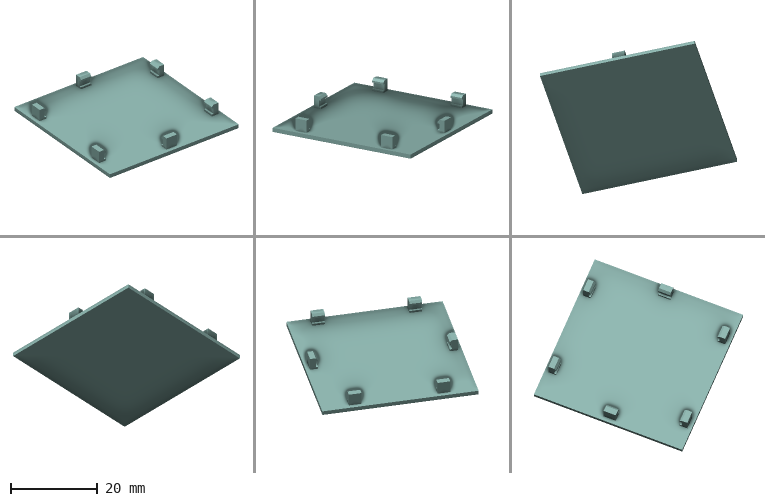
import cadquery as cq

plate_side = 37.0
plate_thickness = 1.0

clip_height = 3.0
clip_width = 3.0
clip_depth = 1.9
edge_setback = 1.0
groove_depth = 0.5
foot_height = 0.5
groove_height = 1.5
tip_chamfer = 0.5

front_clip_offset = 11.5
back_clip_offset = 10.5


def make_clip(along_edge, edge_angle):
    """Clip for the -Y edge at X = along_edge, turned about Z to its own edge."""
    back = -plate_side / 2 + edge_setback
    tip = back + clip_depth
    groove_floor = tip - groove_depth
    top = plate_thickness + clip_height
    groove_bottom = plate_thickness + foot_height
    groove_top = groove_bottom + groove_height
    root = plate_thickness / 2
    section = [
        (back, root),
        (tip, root),
        (tip, groove_bottom),
        (groove_floor, groove_bottom),
        (groove_floor, groove_top),
        (tip, groove_top),
        (tip, top - tip_chamfer),
        (tip - tip_chamfer, top),
        (back, top),
    ]
    return (
        cq.Workplane("YZ", origin=(along_edge - clip_width / 2, 0, 0))
        .polyline(section)
        .close()
        .extrude(clip_width)
        .rotate((0, 0, 0), (0, 0, 1), edge_angle)
    )


clip_places = [
    (-front_clip_offset, 0),
    (front_clip_offset, 0),
    (0, 90),
    (-back_clip_offset, 180),
    (back_clip_offset, 180),
    (0, 270),
]

result = cq.Workplane("XY").box(
    plate_side, plate_side, plate_thickness, centered=(True, True, False)
)
for along_edge, edge_angle in clip_places:
    result = result.union(make_clip(along_edge, edge_angle))